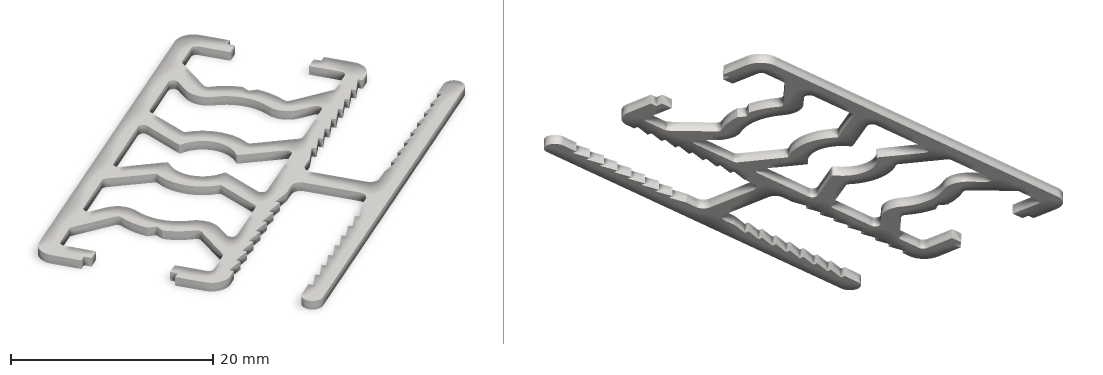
import cadquery as cq
import math

length = 45.0
overall_width = 30.0
thickness = 1.0
half_length = length / 2

wall = 2.0
end_wall = 2.15
flange_thickness = 2.2
flange_gap = 7.8
channel_width = overall_width - flange_thickness - flange_gap
channel_half = channel_width / 2
cavity_half = channel_half - wall
cavity_end = half_length - end_wall
channel_corner_radius = 2.0
slot_half = 4.1
lip_step_width = 0.8
lip_step_depth = 0.75

web_thickness = 2.0
inner_fillet = 0.55
inner_arm_angle = 30.0
inner_arm_wall_y = 6.95
inner_arch_radius = 3.4
inner_arch_fillet = 0.22
outer_arm_angle = 45.0
outer_arm_wall_y = 16.9
outer_arch_radius = 5.4
outer_arch_centre_y = 7.05
outer_bend_radius = inner_fillet + web_thickness
notch_depth = 0.55
notch_half = 0.85

flange_left = channel_half + flange_gap
flange_right = flange_left + flange_thickness
bridge_thickness = 2.2
bridge_fillet = 1.0

tooth_count = 8
tooth_end_margin = 3.0
tooth_row_length = 15.98
tooth_pitch = tooth_row_length / tooth_count
tooth_depth = 0.5
first_tooth_y = half_length - tooth_end_margin


def prism(outline):
    """Extrude a closed outline through the thickness."""
    return outline.close().extrude(thickness)


def mirrored(solid):
    """The solid together with its mirror image at the other end of the profile."""
    return solid.union(solid.mirror("XZ"))


def block(x_min, x_max, y_min, y_max):
    """A rectangular block through the full thickness."""
    corner = cq.Workplane(origin=(x_min, y_min, 0))
    return corner.box(x_max - x_min, y_max - y_min, thickness, centered=False)


def round_corners(solid, corners, radius):
    """Fillet the upright edges at the given (x, y) corners."""
    for x, y in corners:
        edge = cq.selectors.NearestToPointSelector((x, y, thickness / 2))
        solid = solid.edges("|Z").edges(edge).fillet(radius)
    return solid


def both_sides(x, y):
    """A point and its mirror image across the channel."""
    return [(-x, y), (x, y)]


def arm_meets_arch(wall_y, angle, radius, centre_y):
    """Right-hand point where an arm edge falling from the wall meets an arch."""
    slope = math.tan(math.radians(angle))
    rise = wall_y - slope * cavity_half - centre_y
    a = 1 + slope**2
    b = slope * rise
    c = rise**2 - radius**2
    x = (-b + math.sqrt(b**2 - a * c)) / a
    return x, centre_y + rise + slope * x


def far_wall_y(wall_y, angle):
    """Wall height of an arm's lower edge, given that of its upper edge."""
    return wall_y - web_thickness / math.cos(math.radians(angle))


outer_arm_low_y = far_wall_y(outer_arm_wall_y, outer_arm_angle)
inner_arm_low_y = far_wall_y(inner_arm_wall_y, inner_arm_angle)
outer_arch_top_radius = outer_arch_radius + web_thickness
inner_arch_top_radius = inner_arch_radius + web_thickness


def end_pocket():
    """Space between the slot lips and the outer web, down into the notch of its arch."""
    x, y = arm_meets_arch(outer_arm_wall_y, outer_arm_angle, outer_arch_top_radius, outer_arch_centre_y)
    crest = outer_arch_centre_y + outer_arch_top_radius
    pocket = prism(
        cq.Workplane()
        .moveTo(-cavity_half, cavity_end)
        .lineTo(-cavity_half, outer_arm_wall_y)
        .lineTo(-x, y)
        .threePointArc((0, crest), (x, y))
        .lineTo(cavity_half, outer_arm_wall_y)
        .lineTo(cavity_half, cavity_end)
    )
    pocket = round_corners(pocket, both_sides(cavity_half, cavity_end), inner_fillet)
    pocket = round_corners(pocket, both_sides(x, y), inner_fillet)

    ridge = prism(
        cq.Workplane()
        .moveTo(0, crest - notch_depth)
        .lineTo(notch_half, crest)
        .lineTo(-notch_half, crest)
    )
    return pocket.union(ridge)


def side_pocket():
    """Space between the outer web and the inner web."""
    top_x, top_y = arm_meets_arch(outer_arm_low_y, outer_arm_angle, outer_arch_radius, outer_arch_centre_y)
    low_x, low_y = arm_meets_arch(inner_arm_wall_y, inner_arm_angle, inner_arch_top_radius, 0)
    pocket = prism(
        cq.Workplane()
        .moveTo(-cavity_half, outer_arm_low_y)
        .lineTo(-top_x, top_y)
        .threePointArc((0, outer_arch_centre_y + outer_arch_radius), (top_x, top_y))
        .lineTo(cavity_half, outer_arm_low_y)
        .lineTo(cavity_half, inner_arm_wall_y)
        .lineTo(low_x, low_y)
        .threePointArc((0, inner_arch_top_radius), (-low_x, low_y))
        .lineTo(-cavity_half, inner_arm_wall_y)
    )
    pocket = round_corners(pocket, both_sides(top_x, top_y), outer_bend_radius)
    pocket = round_corners(pocket, both_sides(low_x, low_y), inner_arch_fillet)
    pocket = round_corners(pocket, both_sides(cavity_half, inner_arm_wall_y), inner_fillet)
    return round_corners(pocket, both_sides(cavity_half, outer_arm_low_y), inner_fillet)


def centre_pocket():
    """Space between the two inner webs, around the middle of the channel."""
    x, y = arm_meets_arch(inner_arm_low_y, inner_arm_angle, inner_arch_radius, 0)
    pocket = prism(
        cq.Workplane()
        .moveTo(-cavity_half, inner_arm_low_y)
        .lineTo(-x, y)
        .threePointArc((0, inner_arch_radius), (x, y))
        .lineTo(cavity_half, inner_arm_low_y)
        .lineTo(cavity_half, -inner_arm_low_y)
        .lineTo(x, -y)
        .threePointArc((0, -inner_arch_radius), (-x, -y))
        .lineTo(-cavity_half, -inner_arm_low_y)
    )
    for side in (1, -1):
        pocket = round_corners(pocket, both_sides(x, side * y), inner_arch_fillet)
        pocket = round_corners(pocket, both_sides(cavity_half, side * inner_arm_low_y), inner_fillet)
    return pocket


def channel():
    """Box section with stepped slot lips and three kinds of pocket."""
    body = block(-channel_half, channel_half, -half_length, half_length)
    body = body.edges("|Z").fillet(channel_corner_radius)
    slot = block(-slot_half, slot_half, cavity_end, half_length)
    step_half = slot_half + lip_step_width
    step = block(-step_half, step_half, half_length - lip_step_depth, half_length)
    for cutter in (slot, step, end_pocket(), side_pocket()):
        body = body.cut(mirrored(cutter))
    return body.cut(centre_pocket())


def flange():
    """Straight flange with fully rounded ends."""
    return (
        cq.Workplane()
        .center((flange_left + flange_right) / 2, 0)
        .slot2D(length, flange_thickness, 90)
        .extrude(thickness)
    )


def bridge():
    """Bar from channel to flange, flared by fillets at its four corners."""
    half = bridge_thickness / 2
    flare = half + bridge_fillet
    bar = block(channel_half, flange_left, -flare, flare)
    relief = block(channel_half, flange_left, half, flare + bridge_fillet)
    low_corners = [(channel_half, half), (flange_left, half)]
    relief = round_corners(relief, low_corners, bridge_fillet)
    return bar.cut(mirrored(relief))


def tooth_cuts(face_x, inward):
    """Saw-tooth notches sunk into one face; inward is the X direction into the material."""
    root_x = face_x + inward * tooth_depth
    clear_x = face_x - inward * tooth_depth
    outline = cq.Workplane().moveTo(clear_x, first_tooth_y)
    for index in range(tooth_count):
        ledge_y = first_tooth_y - index * tooth_pitch
        outline = outline.lineTo(face_x, ledge_y).lineTo(root_x, ledge_y)
    last_y = first_tooth_y - tooth_row_length
    return prism(outline.lineTo(face_x, last_y).lineTo(clear_x, last_y))


result = channel().union(flange()).union(bridge())
result = result.cut(mirrored(tooth_cuts(channel_half, -1)))
result = result.cut(mirrored(tooth_cuts(flange_left, 1)))